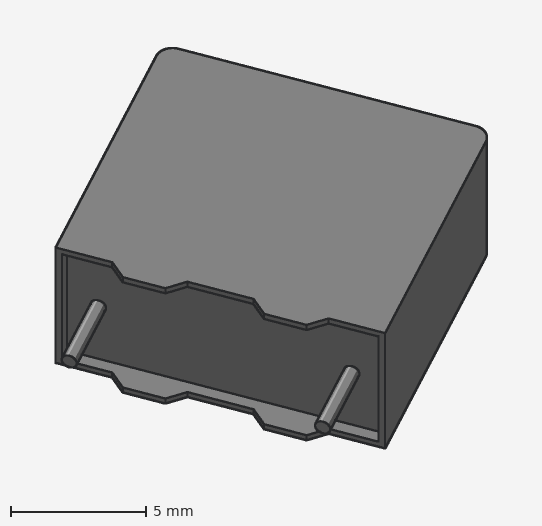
import cadquery as cq

width = 13.0
height = 6.0
total_length = 14.0
case_length = 11.4
corner_radius = 0.65
wall = 0.27
recess_depth = 0.5

foot_height = 0.6
foot_offset = 2.79
foot_base_width = 2.97
foot_tip_width = 1.68

lead_diameter = 0.6
lead_pitch = 10.0
lead_length = total_length - case_length


def make_case():
    """Box with rounded back edges and a shallow recess in its open face at Y = 0."""
    case = cq.Workplane("XY").box(width, case_length, height, centered=(True, False, True))
    case = case.edges("|Z and >Y").fillet(corner_radius)
    recess = cq.Workplane("XY").box(
        width - 2 * wall, recess_depth, height - 2 * wall, centered=(True, False, True)
    )
    return case.cut(recess)


def make_foot(x_center, z_bottom):
    """Trapezoidal tab, one wall thick, that extends a broad wall toward -Y."""
    half_base = foot_base_width / 2
    half_tip = foot_tip_width / 2
    outline = [
        (x_center - half_base, 0),
        (x_center - half_tip, -foot_height),
        (x_center + half_tip, -foot_height),
        (x_center + half_base, 0),
    ]
    return cq.Workplane("XY").workplane(offset=z_bottom).polyline(outline).close().extrude(wall)


def make_lead(x_center):
    """Round lead from the recess floor to the front end of the part."""
    return (
        cq.Workplane("XZ", origin=(x_center, recess_depth, 0))
        .circle(lead_diameter / 2)
        .extrude(recess_depth + lead_length)
    )


result = make_case()
for side in (-1, 1):
    result = result.union(make_lead(side * lead_pitch / 2))
    for z_bottom in (-height / 2, height / 2 - wall):
        result = result.union(make_foot(side * foot_offset, z_bottom))